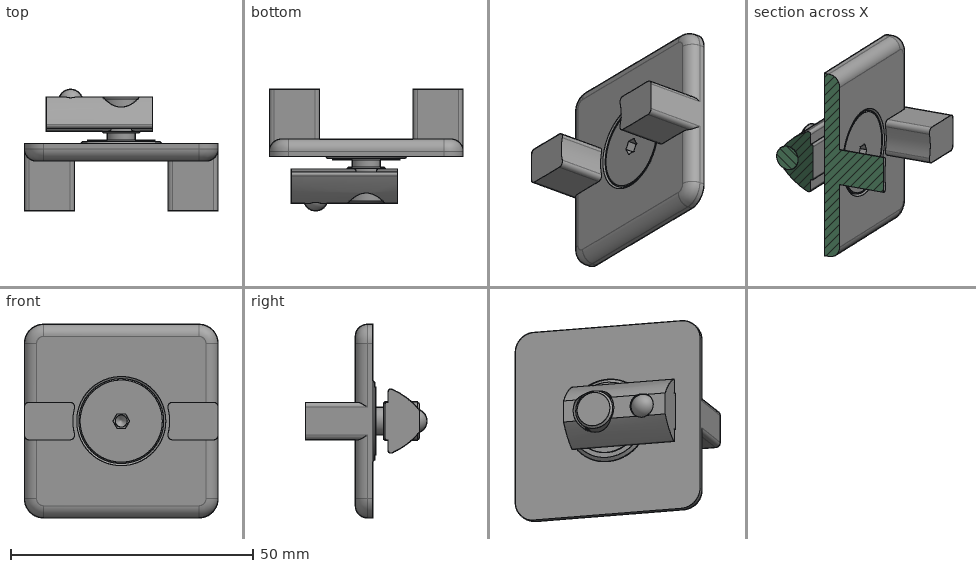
import cadquery as cq
import math

plate_size = 40
plate_thickness = 3.65
plate_corner_radius = 4
plate_edge_radius = 2.5

lug_reach = 13.9
lug_height = 7.75
lug_inner_radius = 10
lug_corner_radius = 1.0

disc_diameter = 17.5
disc_rim_chamfer = 0.3
disc_front = -3.45
disc_back_diameter = 16
disc_back = 0.4
collar_diameter = 14
collar_back = 0.7
shank_diameter = 5.8
thread_diameter = 8
thread_end_diameter = 7.1
thread_start = 2.15
thread_start_chamfer = 0.3
socket_flats = 3.0
socket_depth = 3.0
socket_drill_diameter = 2.5

opening_diameter = 17.5
opening_mouth_diameter = 18.4
opening_mouth_depth = 0.25

nut_left = -15.5
nut_length = 22
nut_back = 9.65
nut_back_half_height = 2.25
nut_shoulder = 3.1
nut_half_height = 6.9
nut_flank_radius = 15.0
nut_tip_radius = 0.6
neck_front = 2.5
nut_bore_diameter = 8.8
neck_half_height = 3.9
neck_edge_radius = 0.4
neck_overlap = 0.4

ball_diameter = 5.0
ball_x = -10.45
ball_y = 8.7


def disc_along_y(diameter, start, end):
    """Cylinder on the Y axis between two Y positions."""
    return cq.Workplane("XZ", origin=(0, start, 0)).circle(diameter / 2).extrude(start - end)


def revolve_about_y(profile):
    """Turned solid from (radius, Y) points that start and end on the Y axis."""
    return cq.Workplane("XY").polyline(profile).close().revolve(360, (0, 0), (0, 1))


def make_lug():
    """Lug on the +X side, hollowed on its inner side by an arc about the plate's axis."""
    half_height = lug_height / 2
    side = plate_size / 2
    corner_x = math.sqrt(lug_inner_radius**2 - half_height**2)
    return (
        cq.Workplane("XZ")
        .moveTo(side, -half_height)
        .lineTo(corner_x, -half_height)
        .threePointArc((lug_inner_radius, 0), (corner_x, half_height))
        .lineTo(side, half_height)
        .close()
        .extrude(lug_reach)
        .edges("|Y")
        .fillet(lug_corner_radius)
    )


def make_plate():
    """Rounded plate with two lugs and a chamfered round opening."""
    slab = (
        cq.Workplane("XZ")
        .rect(plate_size, plate_size)
        .extrude(plate_thickness)
        .edges("|Y")
        .fillet(plate_corner_radius)
        .faces("<Y")
        .edges()
        .fillet(plate_edge_radius)
    )
    right_lug = make_lug()
    slab = slab.union(right_lug).union(right_lug.mirror("YZ"))
    opening = disc_along_y(opening_diameter, -plate_thickness, 0)
    mouth_profile = [
        (0, -plate_thickness),
        (opening_mouth_diameter / 2, -plate_thickness),
        (opening_diameter / 2, -plate_thickness + opening_mouth_depth),
        (0, -plate_thickness + opening_mouth_depth),
    ]
    mouth = revolve_about_y(mouth_profile)
    return slab.cut(opening).cut(mouth)


def make_screw():
    """Turned screw with a wide disc head, a shank, a thick end and a hexagon socket."""
    disc_radius = disc_diameter / 2
    thread_radius = thread_diameter / 2
    back_chamfer = (disc_diameter - disc_back_diameter) / 2
    thread_end_chamfer = (thread_diameter - thread_end_diameter) / 2
    profile = [
        (0, disc_front),
        (disc_radius - disc_rim_chamfer, disc_front),
        (disc_radius, disc_front + disc_rim_chamfer),
        (disc_radius, disc_back - back_chamfer),
        (disc_back_diameter / 2, disc_back),
        (collar_diameter / 2, disc_back),
        (collar_diameter / 2, collar_back),
        (shank_diameter / 2, collar_back),
        (shank_diameter / 2, thread_start),
        (thread_radius - thread_start_chamfer, thread_start),
        (thread_radius, thread_start + thread_start_chamfer),
        (thread_radius, nut_back - thread_end_chamfer),
        (thread_end_diameter / 2, nut_back),
        (0, nut_back),
    ]
    body = revolve_about_y(profile)
    socket = (
        cq.Workplane("XZ", origin=(0, disc_front, 0))
        .polygon(6, socket_flats / math.cos(math.pi / 6))
        .extrude(-socket_depth)
    )
    socket_bottom = disc_front + socket_depth
    drill_radius = socket_drill_diameter / 2
    drill_tip = revolve_about_y(
        [(0, socket_bottom), (drill_radius, socket_bottom), (0, socket_bottom + drill_radius)]
    )
    return body.cut(socket).cut(drill_tip)


def make_ball():
    return cq.Workplane("XY").sphere(ball_diameter / 2).translate((ball_x, ball_y, 0))


def flank_middle():
    """Middle point of the convex arc from the nut's back to its upper tip."""
    dy = nut_shoulder - nut_back
    dz = nut_half_height - nut_back_half_height
    chord = math.hypot(dy, dz)
    rise = nut_flank_radius - math.sqrt(nut_flank_radius**2 - chord**2 / 4)
    middle_y = nut_back + dy / 2 + rise * dz / chord
    middle_z = nut_back_half_height + dz / 2 - rise * dy / chord
    return middle_y, middle_z


def make_nut():
    """Bar with convex flanks, a narrower neck, a clearance bore and a seat for the ball."""
    mid_y, mid_z = flank_middle()
    bar = (
        cq.Workplane("YZ", origin=(nut_left, 0, 0))
        .moveTo(nut_back, -nut_back_half_height)
        .lineTo(nut_back, nut_back_half_height)
        .threePointArc((mid_y, mid_z), (nut_shoulder, nut_half_height))
        .lineTo(nut_shoulder, -nut_half_height)
        .threePointArc((mid_y, -mid_z), (nut_back, -nut_back_half_height))
        .close()
        .extrude(nut_length)
        .faces("<Y")
        .edges("|X")
        .fillet(nut_tip_radius)
    )
    neck_depth = nut_shoulder + neck_overlap - neck_front
    neck = (
        cq.Workplane("XY")
        .box(nut_length, neck_depth, 2 * neck_half_height, centered=(False, False, True))
        .translate((nut_left, neck_front, 0))
        .faces("<Y")
        .edges("|X")
        .fillet(neck_edge_radius)
    )
    bore = disc_along_y(nut_bore_diameter, 0, nut_back)
    ball_bore = disc_along_y(ball_diameter, ball_y, nut_back).translate((ball_x, 0, 0))
    return bar.union(neck).cut(bore).cut(ball_bore).cut(make_ball())


plate = make_plate()
screw = make_screw()
nut = make_nut()
ball = make_ball()

result = cq.Compound.makeCompound([plate.val(), screw.val(), nut.val(), ball.val()])